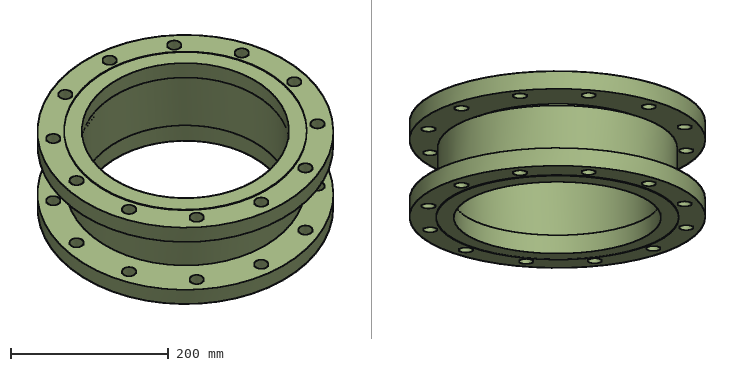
import cadquery as cq

outer_radius = 187.5
total_height = 130.0

flange_thickness = 24.0
raised_face_radius = 153.8
raised_face_height = 1.0

bore_radius = 131.2
neck_radius = 132.5
body_radius = 152.0
body_height = 62.2
neck_fillet = 3.8
body_edge_fillet = 2.2

bolt_count = 12
bolt_circle_radius = 168.0
bolt_hole_diameter = 18.0
first_bolt_angle = 180 / bolt_count


def cylinder(radius, height, bottom):
    """Upright cylinder on the Z axis whose lower face is at the given height."""
    return cq.Workplane("XY").workplane(offset=bottom).circle(radius).extrude(height)


def core():
    """Neck with the wider body around its middle, rounded at the body's edges and roots."""
    neck = cylinder(neck_radius, total_height, -total_height / 2)
    body = cylinder(body_radius, body_height, -body_height / 2)
    body = body.faces("<Z or >Z").edges().fillet(body_edge_fillet)
    root_height = body_height / 2
    root_reach = neck_radius + neck_fillet
    root = (
        cq.Workplane("XZ")
        .moveTo(bore_radius, root_height)
        .lineTo(root_reach, root_height)
        .radiusArc((neck_radius, root_height + neck_fillet), neck_fillet)
        .lineTo(bore_radius, root_height + neck_fillet)
        .close()
        .revolve(360, (0, 0, 0), (0, 1, 0))
    )
    return neck.union(body).union(root).union(root.mirror("XY"))


def top_flange():
    """Upper flange disc with its raised face and bolt holes."""
    face_bottom = total_height / 2 - raised_face_height
    flange_bottom = face_bottom - flange_thickness
    disc = cylinder(outer_radius, flange_thickness, flange_bottom)
    raised_face = cylinder(raised_face_radius, raised_face_height, face_bottom)
    bolt_holes = (
        cq.Workplane("XY")
        .workplane(offset=flange_bottom)
        .polarArray(bolt_circle_radius, first_bolt_angle, 360, bolt_count)
        .circle(bolt_hole_diameter / 2)
        .extrude(flange_thickness)
    )
    return disc.union(raised_face).cut(bolt_holes)


flange = top_flange()
bore = cylinder(bore_radius, total_height, -total_height / 2)

result = core().union(flange).union(flange.mirror("XY")).cut(bore)